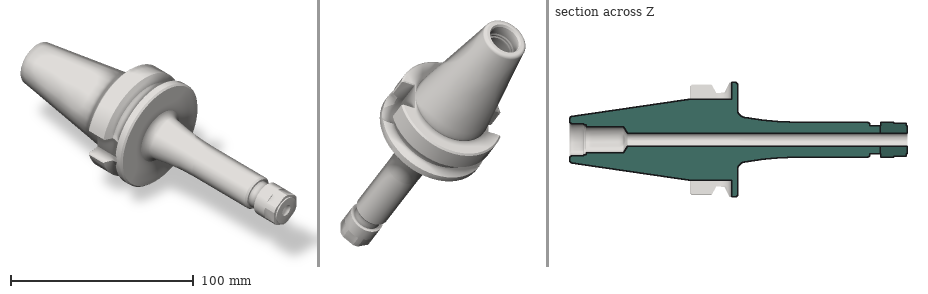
import cadquery as cq
import math


gauge_diameter = 44.5
taper_length = 65.5
taper_ratio = 7 / 24
taper_end_diameter = gauge_diameter - taper_ratio * taper_length
taper_end_round = 1.9

flange_diameter = 63.0
flange_start = 66.2
flange_end = 92.3
flange_chamfer = 1.0
groove_start = 77.9
groove_end = 87.7
groove_floor_diameter = 53.8
groove_wall_angle = 60
groove_wall_run = (flange_diameter - groove_floor_diameter) / 2 / math.tan(math.radians(groove_wall_angle))

slot_width = 16.1
slot_end = 88.8
slot_floor = 22.5
slot_chamfer = 0.5

nose_diameter = 19.5
nose_root_diameter = 31.1
nose_root_radius = 4.8
nose_waist_diameter = 24.5
nose_waist = 96.8
nose_sweep_end = 125.0
nose_sweep_radius = 157.5
nose_end = 164.6
nose_chamfer_length = 1.1
nose_chamfer_depth = 0.7

neck_diameter = 15.5
neck_end = 170.4

nut_end = 185.4
nut_diameter = 19.5
nut_face_diameter = 15.8
hex_start = 178.0
hex_end = 184.7
hex_across_flats = 18.2

through_diameter = 6.7
mouth_diameter = 19.0
mouth_chamfer = 1.3
counterbore_diameter = 17.5
counterbore_depth = 7.6
thread_diameter = 16.1
thread_depth = 9.0
thread_chamfer = 0.5
drill_diameter = 13.9
drill_depth = 29.7
drill_point_angle = 118
drill_point = (drill_diameter - through_diameter) / 2 / math.tan(math.radians(drill_point_angle / 2))


def revolve_about_x(points):
    """Solid of revolution about X of a closed (x, radius) outline."""
    return cq.Workplane("XY").polyline(points).close().revolve(360, (0, 0, 0), (1, 0, 0))


def cylinder_x(diameter, start, end):
    return cq.Workplane("YZ", origin=(start, 0, 0)).circle(diameter / 2).extrude(end - start)


def make_taper():
    taper = revolve_about_x([
        (0, 0),
        (0, taper_end_diameter / 2),
        (taper_length, gauge_diameter / 2),
        (flange_start, gauge_diameter / 2),
        (flange_start, 0),
    ])
    return taper.faces("<X").edges().fillet(taper_end_round)


def make_flange():
    flange = cylinder_x(flange_diameter, flange_start, flange_end)
    flange = flange.faces("<X or >X").edges().chamfer(flange_chamfer)
    rim = flange_diameter / 2
    floor = groove_floor_diameter / 2
    groove = revolve_about_x([
        (groove_start, rim),
        (groove_start + groove_wall_run, floor),
        (groove_end - groove_wall_run, floor),
        (groove_end, rim),
        (groove_end, rim + 1.9),
        (groove_start, rim + 1.9),
    ])
    return flange.cut(groove)


def make_slot(side):
    """Cutter for a round-ended drive slot; side is -1 or +1 along Y."""
    radius = slot_width / 2
    round_center = slot_end - radius
    return (
        cq.Workplane("XZ", origin=(0, side * slot_floor, 0))
        .moveTo(flange_start, -radius)
        .lineTo(round_center, -radius)
        .threePointArc((slot_end, 0), (round_center, radius))
        .lineTo(flange_start, radius)
        .close()
        .extrude(-side * flange_diameter / 2)
    )


def cut_slot(flange, side):
    """Cut one drive slot and chamfer its wall edges on the front face and the rim."""
    flange = flange.cut(make_slot(side))
    margin = 0.2
    floor = side * (slot_floor + margin)
    beyond_rim = side * flange_diameter
    for wall in (-slot_width / 2, slot_width / 2):
        wall_edges = cq.selectors.BoxSelector(
            (flange_start - margin, floor, wall - margin),
            (groove_start, beyond_rim, wall + margin),
        )
        flange = flange.edges(wall_edges).chamfer(slot_chamfer)
    return flange


def make_nose():
    """Slender nose: a concave root, a long concave sweep and a cylinder with a chamfered end."""
    radius = nose_diameter / 2
    return (
        cq.Workplane("XY")
        .moveTo(flange_end, 0)
        .lineTo(flange_end, nose_root_diameter / 2)
        .radiusArc((nose_waist, nose_waist_diameter / 2), -nose_root_radius)
        .radiusArc((nose_sweep_end, radius), -nose_sweep_radius)
        .lineTo(nose_end - nose_chamfer_length, radius)
        .lineTo(nose_end, radius - nose_chamfer_depth)
        .lineTo(nose_end, 0)
        .close()
        .revolve(360, (0, 0, 0), (1, 0, 0))
    )


def make_bore():
    return revolve_about_x([
        (0, 0),
        (0, mouth_diameter / 2),
        (mouth_chamfer, counterbore_diameter / 2),
        (counterbore_depth, counterbore_diameter / 2),
        (counterbore_depth + thread_chamfer, thread_diameter / 2),
        (thread_depth, thread_diameter / 2),
        (thread_depth, drill_diameter / 2),
        (drill_depth, drill_diameter / 2),
        (drill_depth + drill_point, through_diameter / 2),
        (neck_end, through_diameter / 2),
        (neck_end, 0),
    ])


def make_holder():
    flange = make_flange()
    for side in (-1, 1):
        flange = cut_slot(flange, side)
    neck = cylinder_x(neck_diameter, nose_end, neck_end)
    return make_taper().union(flange).union(make_nose()).union(neck).cut(make_bore())


def make_nut():
    hexagon = (
        cq.Workplane("YZ", origin=(hex_start, 0, 0))
        .polygon(6, hex_across_flats, circumscribed=True)
        .extrude(hex_end - hex_start)
    )
    wrench_part = cylinder_x(nut_diameter, hex_start, hex_end).intersect(hexagon)
    sleeve = cylinder_x(nut_diameter, neck_end, hex_start)
    face_boss = cylinder_x(nut_face_diameter, hex_end, nut_end)
    bore = cylinder_x(through_diameter, neck_end, nut_end)
    return sleeve.union(wrench_part).union(face_boss).cut(bore)


holder = make_holder()
nut = make_nut()
result = cq.Compound.makeCompound([holder.val(), nut.val()])